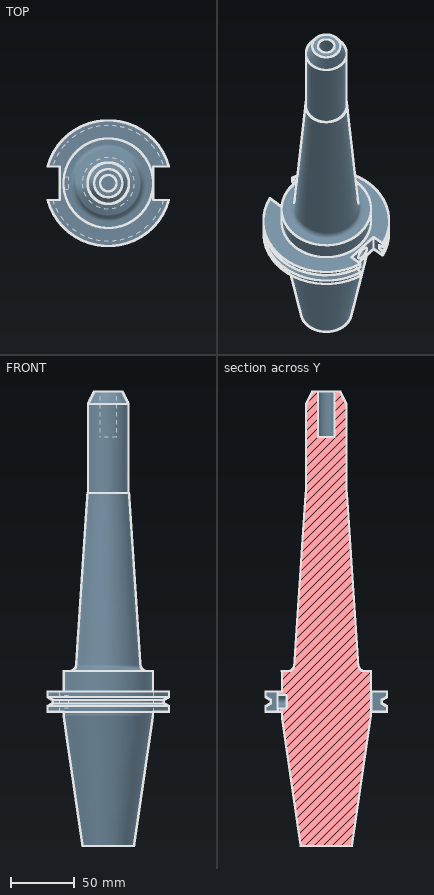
import cadquery as cq
import math

total_height = 355.5
gauge_diameter = 70.0
gauge_height = 101.7
taper_ratio = 7 / 24

flange_diameter = 98.5
flange_bottom = 105.0
flange_thickness = 16.0
groove_floor_diameter = 90.7
groove_floor_width = 2.5
groove_mouth_width = 7.0

slot_width = 26.0
left_slot_floor = 38.0
right_slot_floor = 35.2
drive_hole_diameter = 10.0
drive_hole_depth = 7.0

boss_top = 137.0
root_fillet = 5.0
cone_base_radius = 25.2
cone_top_radius = 16.5
cone_top = 276.0
neck_radius = 16.0
tip_radius = 11.0
bevel_height = 10.0
bore_diameter = 12.8
bore_depth = 35.5

gauge_radius = gauge_diameter / 2
shank_end_radius = gauge_radius - gauge_height * taper_ratio / 2
flange_radius = flange_diameter / 2
flange_top = flange_bottom + flange_thickness
flange_middle = flange_bottom + flange_thickness / 2


def make_body():
    """Revolve the shank, collar and nose about Z."""
    fillet_top = boss_top + root_fillet
    fillet_outer_radius = cone_base_radius + root_fillet
    arc_reach = root_fillet * (1 - math.sqrt(0.5))
    return (
        cq.Workplane("XZ")
        .lineTo(shank_end_radius, 0)
        .lineTo(gauge_radius, gauge_height)
        .lineTo(gauge_radius, boss_top)
        .lineTo(fillet_outer_radius, boss_top)
        .threePointArc(
            (cone_base_radius + arc_reach, boss_top + arc_reach),
            (cone_base_radius, fillet_top),
        )
        .lineTo(cone_top_radius, cone_top)
        .lineTo(neck_radius, cone_top)
        .lineTo(neck_radius, total_height - bevel_height)
        .lineTo(tip_radius, total_height)
        .lineTo(0, total_height)
        .close()
        .revolve(360, (0, 0), (0, 1))
    )


def make_flange():
    """Revolve the flange with a flat-bottomed V-groove around its rim."""
    floor_radius = groove_floor_diameter / 2
    return (
        cq.Workplane("XZ")
        .moveTo(0, flange_bottom)
        .lineTo(flange_radius, flange_bottom)
        .lineTo(flange_radius, flange_middle - groove_mouth_width / 2)
        .lineTo(floor_radius, flange_middle - groove_floor_width / 2)
        .lineTo(floor_radius, flange_middle + groove_floor_width / 2)
        .lineTo(flange_radius, flange_middle + groove_mouth_width / 2)
        .lineTo(flange_radius, flange_top)
        .lineTo(0, flange_top)
        .close()
        .revolve(360, (0, 0), (0, 1))
    )


def make_slot(side, floor_distance):
    """Block that cuts a drive slot; side is -1 for -X and +1 for +X."""
    length = flange_radius
    return cq.Workplane("XY").box(length, slot_width, flange_thickness).translate(
        (side * (floor_distance + length / 2), 0, flange_middle)
    )


def make_drive_hole():
    """Blind hole running inward from the floor of the -X slot."""
    return (
        cq.Workplane("YZ", origin=(-left_slot_floor, 0, flange_middle))
        .circle(drive_hole_diameter / 2)
        .extrude(drive_hole_depth)
    )


def make_bore():
    """Blind tool bore in the tip."""
    return (
        cq.Workplane("XY", origin=(0, 0, total_height - bore_depth))
        .circle(bore_diameter / 2)
        .extrude(bore_depth)
    )


result = (
    make_body()
    .union(make_flange())
    .cut(make_slot(-1, left_slot_floor))
    .cut(make_slot(1, right_slot_floor))
    .cut(make_drive_hole())
    .cut(make_bore())
)